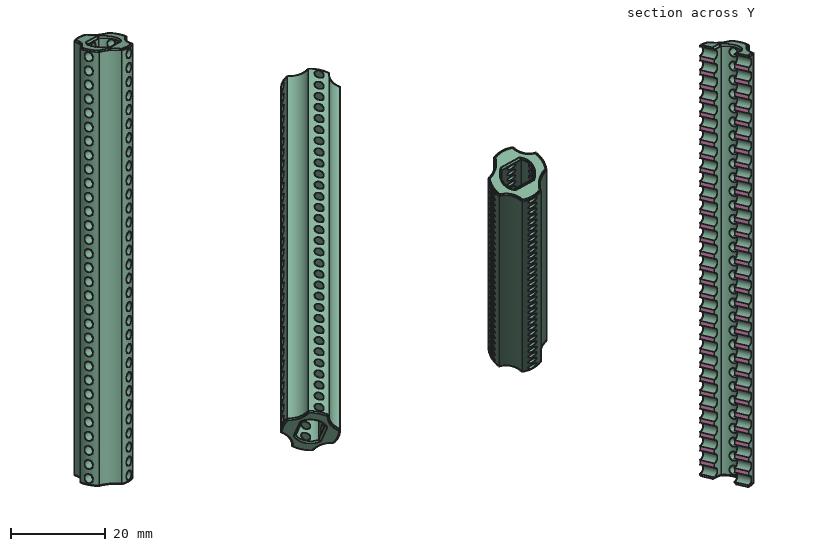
import cadquery as cq
import math

length = 96.9
outer_diameter = 12.5
outer_radius = outer_diameter / 2
arm_half_width = 2.3
valley_radius = 5.0
end_chamfer = 0.3

bore_radius = 3.5
bore_flat_width = 5.0
mouth_depth = 0.4
round_mouth_widening = 0.3
flat_mouth_widening = 0.5

hole_diameter = 2.0
hole_count = 31
hole_pitch = length / hole_count


def turned(x, y, angle):
    """Turn a point about the axis."""
    return (
        x * math.cos(angle) - y * math.sin(angle),
        x * math.sin(angle) + y * math.cos(angle),
    )


def make_tube():
    """Four-armed bar: each quarter turn is one concave valley and one arm tip."""
    edge_distance = math.sqrt(outer_radius**2 - arm_half_width**2)
    valley_bottom = valley_radius / math.sqrt(2)
    outline = cq.Workplane("XY").moveTo(edge_distance, arm_half_width)
    for quarter in range(4):
        angle = quarter * math.pi / 2
        outline = outline.threePointArc(
            turned(valley_bottom, valley_bottom, angle),
            turned(arm_half_width, edge_distance, angle),
        )
        outline = outline.threePointArc(
            turned(0, outer_radius, angle),
            turned(-arm_half_width, edge_distance, angle),
        )
    bar = outline.close().extrude(length)
    return bar.faces("<Z or >Z").edges().chamfer(end_chamfer)


def make_bore():
    """Flatted round core that widens at both ends into bevelled mouths."""
    half_flat = bore_flat_width / 2
    mouth_radius = bore_radius + round_mouth_widening
    mouth_half_flat = half_flat + flat_mouth_widening
    inner_top = length - mouth_depth

    def widening_profile(reach, mouth_reach):
        return (
            cq.Workplane("XZ")
            .moveTo(0, 0)
            .lineTo(mouth_reach, 0)
            .lineTo(reach, mouth_depth)
            .lineTo(reach, inner_top)
            .lineTo(mouth_reach, length)
            .lineTo(0, length)
            .close()
        )

    round_core = widening_profile(bore_radius, mouth_radius).revolve(360, (0, 0), (0, 1))
    half_slab = widening_profile(half_flat, mouth_half_flat).extrude(mouth_radius, both=True)
    slab = half_slab.union(half_slab.mirror("YZ"))
    return round_core.intersect(slab)


def make_cross_holes(plane):
    """One row of holes running right through the tube."""
    centres = [(0, (index + 0.5) * hole_pitch) for index in range(hole_count)]
    row = cq.Workplane(plane).pushPoints(centres)
    return row.circle(hole_diameter / 2).extrude(outer_radius, both=True)


result = make_tube().cut(make_bore())
for hole_plane in ("XZ", "YZ"):
    result = result.cut(make_cross_holes(hole_plane))